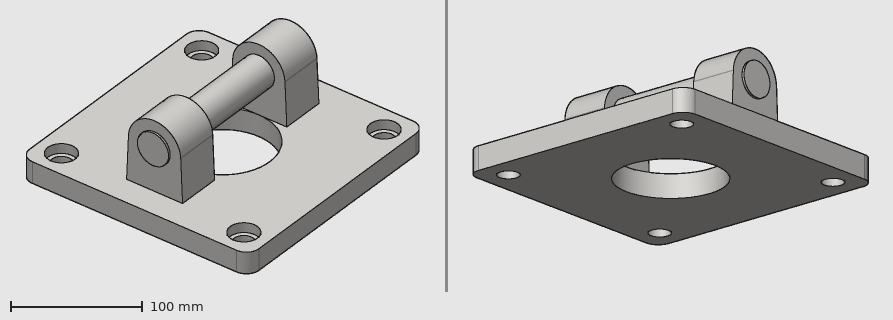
import cadquery as cq
import math

plate_side = 220.0
plate_thickness = 20.0
corner_radius = 12.0
window_diameter = 90.0

hole_spacing = 175.0
hole_diameter = 18.0
counterbore_diameter = 26.0
counterbore_depth = 9.0

total_height = 85.0
lug_radius = 25.0
lug_base_width = 53.7
lug_thickness = 40.0
lug_gap = 90.0
pin_diameter = 30.0
pin_overhang = 2.0
axis_height = total_height - lug_radius
pin_length = lug_gap + 2 * (lug_thickness + pin_overhang)


def make_plate():
    """Square plate with rounded corners, a central window and four screw holes."""
    return (
        cq.Workplane("XY")
        .rect(plate_side, plate_side)
        .extrude(plate_thickness)
        .edges("|Z")
        .fillet(corner_radius)
        .faces(">Z")
        .workplane()
        .hole(window_diameter)
        .faces(">Z")
        .workplane()
        .rect(hole_spacing, hole_spacing, forConstruction=True)
        .vertices()
        .cboreHole(hole_diameter, counterbore_diameter, counterbore_depth)
    )


def make_lug(front_y):
    """Lug with a round head and tapered flanks tangent to it, growing toward +Y."""
    half_base = lug_base_width / 2
    rise = axis_height - plate_thickness
    base_distance = math.hypot(half_base, rise)
    tangent_angle = math.acos(lug_radius / base_distance) - math.atan2(rise, half_base)
    tangent_x = lug_radius * math.cos(tangent_angle)
    tangent_z = axis_height + lug_radius * math.sin(tangent_angle)
    return (
        cq.Workplane("XZ", origin=(0, front_y, 0))
        .moveTo(-half_base, plate_thickness)
        .lineTo(half_base, plate_thickness)
        .lineTo(tangent_x, tangent_z)
        .threePointArc((0, total_height), (-tangent_x, tangent_z))
        .close()
        .extrude(-lug_thickness)
    )


def make_pin():
    """Pin through both lugs, with ends standing slightly proud."""
    return (
        cq.Workplane("XZ", origin=(0, -pin_length / 2, axis_height))
        .circle(pin_diameter / 2)
        .extrude(-pin_length)
    )


result = make_plate()
for lug_front_y in (-lug_gap / 2 - lug_thickness, lug_gap / 2):
    result = result.union(make_lug(lug_front_y))
result = result.union(make_pin())